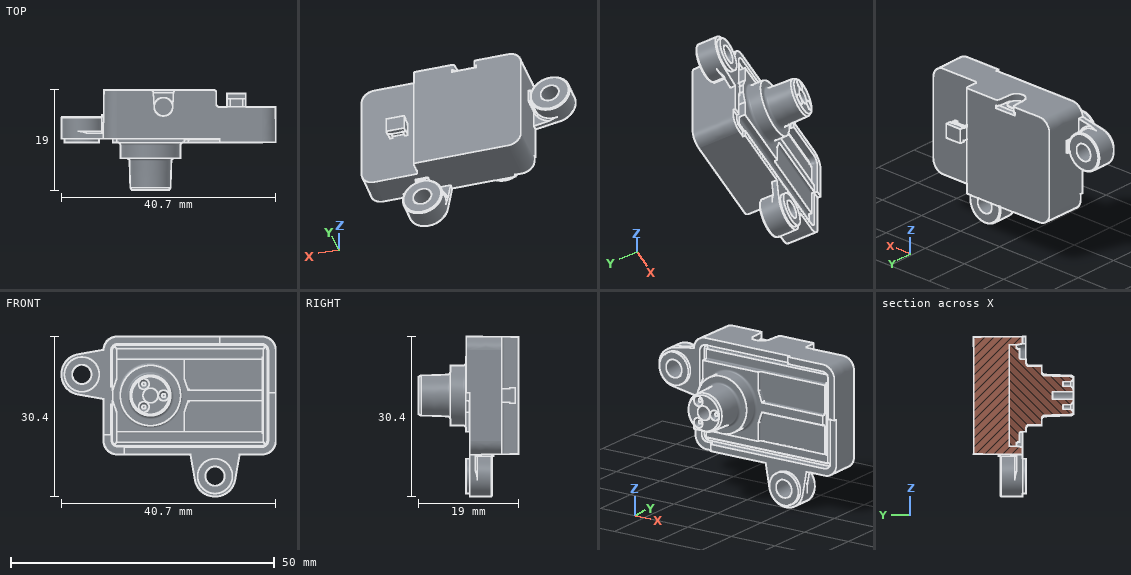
import cadquery as cq
import math


HOUSING_LEFT = -8.92
HOUSING_RIGHT = 23.78
HOUSING_HALF_HEIGHT = 11.2
HOUSING_DEPTH = 9.3
LOW_DEPTH = 6.1
STEP_X = 12.5
STEP_FILLET = 0.5
HOUSING_CORNER = 2.6
HOUSING_DRAFT = 0.5
WALL = 1.4
OPENING_CORNER = 1.1
RIM_DRAFT_WIDTH = 0.25
HOUSING_CENTRE_X = (HOUSING_LEFT + HOUSING_RIGHT) / 2
HOUSING_WIDTH = HOUSING_RIGHT - HOUSING_LEFT
HOUSING_HEIGHT = 2 * HOUSING_HALF_HEIGHT

RAISED_RIM = 0.65
RAISED_RIM_LEFT = 13.1
RAISED_RIM_BOTTOM = 0.5
LOWERED_RIM = 0.5
LOWERED_RIM_RIGHT = -4.98
LOWERED_RIM_TOP = -7.44

LUG_RADIUS = 3.9
LUG_REACH = 4.08
LUG_DEPTH = 4.25
LUG_EDGE = 0.2
LUG_HOLE_RADIUS = 1.8
LUG_PAD_RADIUS = 3.3
LUG_PAD_HEIGHT = 0.7
LUG_FLARE = math.radians(10)
LUG_WEB_DEPTH = 1.1
LUG_WEB_SKIRT = 0.35
LUG_ROOT = 1.0
LEFT_LUG_Z = 4.0
BOTTOM_LUG_X = 12.24
NUB_WIDTH = 2.5
NUB_LENGTH = 0.3
NUB_HEIGHT = 0.35

KEYHOLE_X = 2.46
KEYHOLE_Y = 6.1
KEYHOLE_RADIUS = 1.75
KEYHOLE_MOUTH_HALF = 1.92
KEYHOLE_MOUTH_FILLET = 0.5
KEYHOLE_FLOOR_DEPTH = 1.35
KEYHOLE_POCKET_DEPTH = 1.5
KEYHOLE_FLOOR_CHAMFER = 0.5

LOOP_LEFT = 14.5
LOOP_WIDTH = 3.57
LOOP_BACK = 8.65
LOOP_BAR = 1.05
LOOP_ARM = 0.6
LOOP_HALF_HEIGHT = 1.5
LOOP_ARM_INSET = 0.2
LOOP_WEB_INSET = 0.6

COVER_BACK = 2.5
GROOVE_FLOOR = 1.15
STRIP_FACE = 0.55
PANEL_FACE = -0.1
BLOCK_FACE = -0.7
STRIP_HALF_HEIGHT = 8.85
STRIP_LEFT = -6.39
STRIP_RIGHT = 21.4
PANEL_HALF_HEIGHT = 6.9
PANEL_RIGHT = 21.15
BLOCK_HALF_WIDTH = 6.39
COVER_FILLET = 0.3
NECK_X = 7.17
NECK_START_Z = 3.2
RIB_HALF_HEIGHT = 0.97
TONGUE_HALF_HEIGHT = 1.65

FLANGE_RADIUS = 5.72
FLANGE_END = -3.67
BARREL_RADIUS = 4.0
BARREL_TIP_RADIUS = 3.85
BARREL_END = -9.7
ROOT_FILLET = 0.5
TIP_CHAMFER_LENGTH = 0.5
TIP_CHAMFER_WIDTH = 0.3
BORE_RADIUS = 1.42
BORE_DEPTH = 4.0
SOCKET_COUNT = 3
SOCKET_CIRCLE = 2.5
SOCKET_RADIUS = 1.0
SOCKET_CONE_DEPTH = 0.6
SOCKET_PIN_RADIUS = 0.35
SOCKET_PIN_DEPTH = 2.0


def plane_at(y):
    """Workplane facing -Y, with local axes along X and Z."""
    return cq.Workplane("XZ", origin=(0, y, 0))


def box(x_range, y_range, z_range):
    (x0, x1), (y0, y1), (z0, z1) = x_range, y_range, z_range
    return cq.Workplane("XY").box(x1 - x0, y1 - y0, z1 - z0, centered=False).translate((x0, y0, z0))


def draft_angle(width, height):
    return math.degrees(math.atan2(width, height))


def rounded_rim(inset, corner, y_front, y_back):
    """Rounded rectangular prism inset from the housing outline."""
    length = y_back - y_front
    outline = plane_at(y_back).center(HOUSING_CENTRE_X, 0)
    prism = outline.rect(HOUSING_WIDTH - 2 * inset, HOUSING_HEIGHT - 2 * inset).extrude(length)
    return prism.edges("|Y").fillet(corner)


def opening(y_back):
    """Opening in the housing front, flaring towards the rim down to the groove floor."""
    inset = WALL + RIM_DRAFT_WIDTH
    hole = rounded_rim(inset, OPENING_CORNER, -RAISED_RIM, y_back)
    mouth = rounded_rim(WALL, OPENING_CORNER + RIM_DRAFT_WIDTH, -RAISED_RIM, 0)
    flare = (
        plane_at(0)
        .center(HOUSING_CENTRE_X, 0)
        .sketch()
        .rect(HOUSING_WIDTH - 2 * WALL, HOUSING_HEIGHT - 2 * WALL)
        .vertices()
        .fillet(OPENING_CORNER + RIM_DRAFT_WIDTH)
        .finalize()
        .extrude(-GROOVE_FLOOR, taper=draft_angle(RIM_DRAFT_WIDTH, GROOVE_FLOOR))
    )
    return hole.union(mouth).union(flare)


def lug():
    """Lug with its hole on the Y axis and the housing wall at x = LUG_REACH."""
    root = LUG_REACH + LUG_ROOT
    body = plane_at(LUG_DEPTH).circle(LUG_RADIUS).extrude(LUG_DEPTH)
    body = body.faces(">Y").edges().chamfer(LUG_EDGE)
    tangent = (-LUG_RADIUS * math.sin(LUG_FLARE), LUG_RADIUS * math.cos(LUG_FLARE))
    flare_half = (LUG_RADIUS + LUG_REACH * math.sin(LUG_FLARE)) / math.cos(LUG_FLARE)
    web_outline = [
        tangent,
        (LUG_REACH, flare_half),
        (root, flare_half),
        (root, -flare_half),
        (LUG_REACH, -flare_half),
        (tangent[0], -tangent[1]),
    ]
    skirt_depth = LUG_WEB_DEPTH + LUG_WEB_SKIRT
    web = plane_at(LUG_WEB_DEPTH).polyline(web_outline).close().extrude(LUG_WEB_DEPTH)
    skirt_limit = plane_at(skirt_depth).polyline(web_outline).close().extrude(skirt_depth)
    skirt = plane_at(LUG_WEB_DEPTH).circle(LUG_RADIUS + LUG_WEB_SKIRT).extrude(-LUG_WEB_SKIRT, taper=45)
    web = web.union(skirt.intersect(skirt_limit))
    pad = plane_at(0).circle(LUG_PAD_RADIUS).extrude(LUG_PAD_HEIGHT)
    nub = box(
        (LUG_REACH - NUB_LENGTH, root),
        (0, LUG_DEPTH + NUB_HEIGHT),
        (-NUB_WIDTH / 2, NUB_WIDTH / 2),
    )
    hole = plane_at(LUG_DEPTH).circle(LUG_HOLE_RADIUS).extrude(LUG_DEPTH + LUG_PAD_HEIGHT)
    return body.union(web).union(pad).union(nub).cut(hole)


def raised_rim():
    rim = rounded_rim(0, HOUSING_CORNER, -RAISED_RIM, 0)
    corner = box(
        (RAISED_RIM_LEFT, HOUSING_RIGHT),
        (-RAISED_RIM, 0),
        (RAISED_RIM_BOTTOM, HOUSING_HALF_HEIGHT),
    )
    return rim.intersect(corner)


def lowered_rim():
    return box(
        (HOUSING_LEFT, LOWERED_RIM_RIGHT),
        (0, LOWERED_RIM),
        (-HOUSING_HALF_HEIGHT, LOWERED_RIM_TOP),
    )


def keyhole():
    """Keyhole in the +Z wall: a shallow slot open at the back, ending in a round pocket."""
    top = cq.Workplane("XY", origin=(0, 0, HOUSING_HALF_HEIGHT))
    mouth_half = KEYHOLE_MOUTH_HALF + KEYHOLE_MOUTH_FILLET
    arc = KEYHOLE_MOUTH_FILLET * (1 - math.sqrt(0.5))
    slot = (
        top.moveTo(KEYHOLE_X - KEYHOLE_RADIUS, KEYHOLE_Y)
        .threePointArc((KEYHOLE_X, KEYHOLE_Y - KEYHOLE_RADIUS), (KEYHOLE_X + KEYHOLE_RADIUS, KEYHOLE_Y))
        .lineTo(KEYHOLE_X + KEYHOLE_MOUTH_HALF, HOUSING_DEPTH - KEYHOLE_MOUTH_FILLET)
        .threePointArc(
            (KEYHOLE_X + KEYHOLE_MOUTH_HALF + arc, HOUSING_DEPTH - arc),
            (KEYHOLE_X + mouth_half, HOUSING_DEPTH),
        )
        .lineTo(KEYHOLE_X - mouth_half, HOUSING_DEPTH)
        .threePointArc(
            (KEYHOLE_X - KEYHOLE_MOUTH_HALF - arc, HOUSING_DEPTH - arc),
            (KEYHOLE_X - KEYHOLE_MOUTH_HALF, HOUSING_DEPTH - KEYHOLE_MOUTH_FILLET),
        )
        .close()
        .extrude(-KEYHOLE_FLOOR_DEPTH)
    )
    pocket = top.center(KEYHOLE_X, KEYHOLE_Y).circle(KEYHOLE_RADIUS).extrude(-KEYHOLE_POCKET_DEPTH)
    floor_z = HOUSING_HALF_HEIGHT - KEYHOLE_FLOOR_DEPTH
    chamfer = (
        cq.Workplane("YZ", origin=(KEYHOLE_X - mouth_half, 0, 0))
        .moveTo(HOUSING_DEPTH, floor_z)
        .lineTo(HOUSING_DEPTH - KEYHOLE_FLOOR_CHAMFER, floor_z)
        .lineTo(HOUSING_DEPTH, floor_z - KEYHOLE_FLOOR_CHAMFER)
        .close()
        .extrude(2 * mouth_half)
    )
    return slot.union(pocket).union(chamfer)


def back_loop():
    """Bar on two arms with a recessed web between them."""
    right = LOOP_LEFT + LOOP_WIDTH
    bar_front = LOOP_BACK - LOOP_BAR
    arm_half = LOOP_HALF_HEIGHT - LOOP_ARM_INSET
    web_half = LOOP_HALF_HEIGHT - LOOP_WEB_INSET
    loop = box((LOOP_LEFT, right), (bar_front, LOOP_BACK), (-LOOP_HALF_HEIGHT, LOOP_HALF_HEIGHT))
    for arm_left in (LOOP_LEFT, right - LOOP_ARM):
        arm = box((arm_left, arm_left + LOOP_ARM), (LOW_DEPTH, bar_front), (-arm_half, arm_half))
        loop = loop.union(arm)
    web = box((LOOP_LEFT, right), (LOW_DEPTH, bar_front), (-web_half, web_half))
    return loop.union(web)


def make_housing():
    shrink = 2 * HOUSING_DEPTH * math.tan(math.radians(HOUSING_DRAFT))
    body = (
        plane_at(HOUSING_DEPTH)
        .center(HOUSING_CENTRE_X, 0)
        .sketch()
        .rect(HOUSING_WIDTH - shrink, HOUSING_HEIGHT - shrink)
        .vertices()
        .fillet(HOUSING_CORNER - shrink / 2)
        .finalize()
        .extrude(HOUSING_DEPTH, taper=-HOUSING_DRAFT)
    )
    step = box(
        (STEP_X, HOUSING_RIGHT),
        (LOW_DEPTH, HOUSING_DEPTH),
        (-HOUSING_HALF_HEIGHT, HOUSING_HALF_HEIGHT),
    )
    step = step.edges("|Z and <X and <Y").fillet(STEP_FILLET)
    body = body.cut(step)
    back_edge = cq.selectors.BoxSelector(
        (STEP_X - STEP_FILLET, HOUSING_DEPTH - STEP_FILLET, -HOUSING_HALF_HEIGHT),
        (STEP_X + STEP_FILLET, HOUSING_DEPTH + STEP_FILLET, HOUSING_HALF_HEIGHT),
    )
    body = body.edges(back_edge).fillet(STEP_FILLET)
    left_lug = lug().translate((HOUSING_LEFT - LUG_REACH, 0, LEFT_LUG_Z))
    bottom_lug = (
        lug()
        .rotate((0, 0, 0), (0, 1, 0), -90)
        .translate((BOTTOM_LUG_X, 0, -HOUSING_HALF_HEIGHT - LUG_REACH))
    )
    body = body.union(left_lug).union(bottom_lug).union(raised_rim()).union(back_loop())
    body = body.cut(keyhole()).cut(lowered_rim()).cut(opening(COVER_BACK))
    tongue = box(
        (HOUSING_LEFT + WALL / 2, -NECK_X),
        (0, COVER_BACK),
        (-TONGUE_HALF_HEIGHT, TONGUE_HALF_HEIGHT),
    )
    return body.union(tongue)


def cover_block():
    """Raised seat around the connector, with a neck on each side and a rib running to +X."""
    upper = [
        (-NECK_X, RIB_HALF_HEIGHT),
        (-BLOCK_HALF_WIDTH, NECK_START_Z),
        (-BLOCK_HALF_WIDTH, PANEL_HALF_HEIGHT),
        (BLOCK_HALF_WIDTH, PANEL_HALF_HEIGHT),
        (BLOCK_HALF_WIDTH, NECK_START_Z),
        (NECK_X, RIB_HALF_HEIGHT),
        (PANEL_RIGHT, RIB_HALF_HEIGHT),
    ]
    lower = [(x, -z) for x, z in reversed(upper)]
    return plane_at(GROOVE_FLOOR).polyline(upper + lower).close().extrude(GROOVE_FLOOR - BLOCK_FACE)


def connector():
    """Flange and barrel with filleted roots and a bevelled tip, revolved about the Y axis."""
    arc = ROOT_FILLET * (1 - math.sqrt(0.5))
    flange_root = BLOCK_FACE - ROOT_FILLET
    barrel_root = FLANGE_END - ROOT_FILLET
    profile = (
        cq.Workplane("XY")
        .moveTo(0, COVER_BACK)
        .lineTo(FLANGE_RADIUS, COVER_BACK)
        .lineTo(FLANGE_RADIUS + ROOT_FILLET, BLOCK_FACE)
        .threePointArc((FLANGE_RADIUS + arc, BLOCK_FACE - arc), (FLANGE_RADIUS, flange_root))
        .lineTo(FLANGE_RADIUS, FLANGE_END)
        .lineTo(BARREL_RADIUS + ROOT_FILLET, FLANGE_END)
        .threePointArc((BARREL_RADIUS + arc, FLANGE_END - arc), (BARREL_RADIUS, barrel_root))
        .lineTo(BARREL_TIP_RADIUS, BARREL_END + TIP_CHAMFER_LENGTH)
        .lineTo(BARREL_TIP_RADIUS - TIP_CHAMFER_WIDTH, BARREL_END)
        .lineTo(0, BARREL_END)
        .close()
    )
    return profile.revolve(360, (0, 0, 0), (0, 1, 0))


def socket():
    """Countersunk pin hole on the Y axis, opening at the barrel tip."""
    profile = (
        cq.Workplane("XY")
        .moveTo(0, BARREL_END)
        .lineTo(SOCKET_RADIUS, BARREL_END)
        .lineTo(SOCKET_PIN_RADIUS, BARREL_END + SOCKET_CONE_DEPTH)
        .lineTo(SOCKET_PIN_RADIUS, BARREL_END + SOCKET_PIN_DEPTH)
        .lineTo(0, BARREL_END + SOCKET_PIN_DEPTH)
        .close()
    )
    return profile.revolve(360, (0, 0, 0), (0, 1, 0))


def block_foot():
    """Edges where the block and its rib rise from the panel."""
    return cq.selectors.BoxSelector(
        (BLOCK_HALF_WIDTH - COVER_FILLET, PANEL_FACE - COVER_FILLET / 2, -PANEL_HALF_HEIGHT + COVER_FILLET),
        (PANEL_RIGHT - COVER_FILLET, PANEL_FACE + COVER_FILLET / 2, PANEL_HALF_HEIGHT - COVER_FILLET),
    )


def edges_at(y, half_height):
    """Edges of the cover at depth y within half_height of the X axis."""
    reach = COVER_FILLET / 4
    return cq.selectors.BoxSelector(
        (STRIP_LEFT - reach, y - reach, -half_height - reach),
        (STRIP_RIGHT + reach, y + reach, half_height + reach),
    )


def make_cover():
    base = rounded_rim(WALL + RIM_DRAFT_WIDTH, OPENING_CORNER, GROOVE_FLOOR, COVER_BACK)
    strip = box(
        (STRIP_LEFT, STRIP_RIGHT),
        (STRIP_FACE, GROOVE_FLOOR),
        (-STRIP_HALF_HEIGHT, STRIP_HALF_HEIGHT),
    )
    cover = base.union(strip)
    cover = cover.edges(edges_at(GROOVE_FLOOR, STRIP_HALF_HEIGHT)).fillet(COVER_FILLET)
    panel = box(
        (-BLOCK_HALF_WIDTH, PANEL_RIGHT),
        (PANEL_FACE, GROOVE_FLOOR),
        (-PANEL_HALF_HEIGHT, PANEL_HALF_HEIGHT),
    )
    cover = cover.union(panel)
    cover = cover.edges(edges_at(STRIP_FACE, PANEL_HALF_HEIGHT)).edges("|X").fillet(COVER_FILLET)
    cover = cover.union(cover_block())
    cover = cover.edges(block_foot()).fillet(COVER_FILLET)
    cover = cover.union(connector())
    bore = plane_at(BARREL_END + BORE_DEPTH).circle(BORE_RADIUS).extrude(BORE_DEPTH)
    cover = cover.cut(bore)
    for index in range(SOCKET_COUNT):
        angle = math.radians(index * 360 / SOCKET_COUNT)
        position = (SOCKET_CIRCLE * math.cos(angle), 0, SOCKET_CIRCLE * math.sin(angle))
        cover = cover.cut(socket().translate(position))
    return cover


cover = make_cover()
housing = make_housing().cut(cover)
result = cq.Compound.makeCompound([housing.val(), cover.val()])